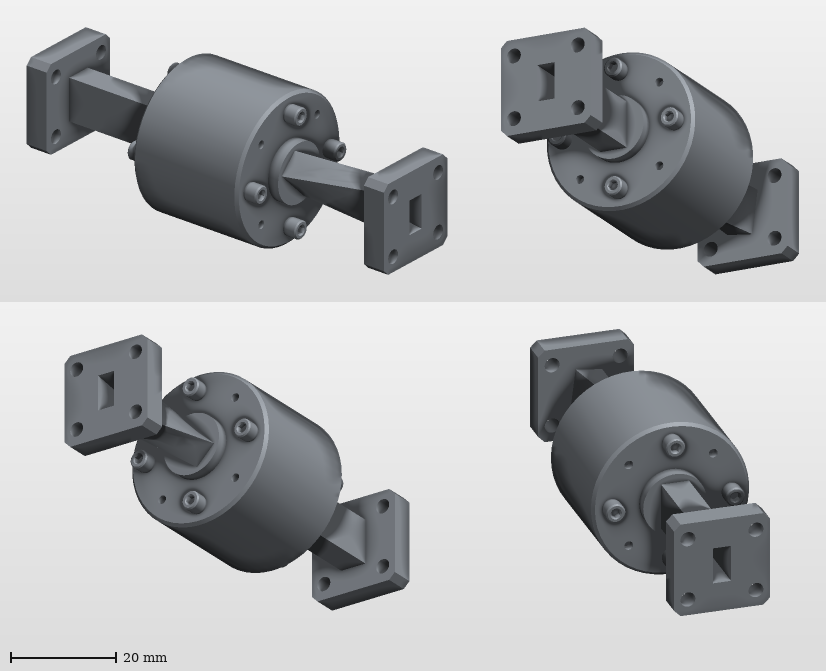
import cadquery as cq

overall_length = 87.1
end_x = overall_length / 2

housing_diameter = 31.6
housing_length = 25.4
housing_end_x = housing_length / 2
housing_chamfer = 0.6

hub_diameter = 12.7
hub_thickness = 2.4
hub_face_x = housing_end_x + hub_thickness

dowel_hole_diameter = 1.7
dowel_hole_depth = 1.7

flange_size = 19.2
flange_thickness = 4.9
flange_corner_chamfer = 1.3
flange_hole_diameter = 3.0
flange_hole_spacing_y = 13.6
flange_hole_spacing_z = 12.6

guide_width = 5.6
guide_height = 9.2
bore_width = 3.7
bore_height = 7.3
guide_length = end_x - hub_face_x
twist_angle = 45.0

screw_circle_radius = 11.9
screw_count = 4
screw_pitch_angle = 360 / screw_count
screw_head_diameter = 3.8
screw_head_height = 3.0
screw_head_chamfer = 0.3
screw_seat_diameter = 3.7
screw_seat_height = 0.4
socket_across_flats = 1.7
socket_mouth_diameter = 2.3
socket_mouth_depth = 0.3
socket_depth = 1.3


def plane_at(x):
    """Plane at position x, with local x along +Y, local y along +Z, normal +X."""
    return cq.Workplane("YZ", origin=(x, 0, 0))


def make_hubbed_cylinder():
    cylinder = plane_at(-housing_end_x).circle(housing_diameter / 2).extrude(housing_length)
    cylinder = cylinder.faces("<X or >X").chamfer(housing_chamfer)
    hubs = plane_at(-hub_face_x).circle(hub_diameter / 2).extrude(2 * hub_face_x)
    return cylinder.union(hubs)


def make_dowel_holes():
    """Cutters for the blind holes, halfway between the screws on both ends."""
    left = (
        plane_at(-housing_end_x)
        .polarArray(screw_circle_radius, screw_pitch_angle / 2, 360, screw_count)
        .circle(dowel_hole_diameter / 2)
        .extrude(dowel_hole_depth)
    )
    return left.union(left.mirror("YZ"))


def make_flange(start_x):
    return (
        plane_at(start_x)
        .rect(flange_size, flange_size)
        .extrude(flange_thickness)
        .edges("|X")
        .chamfer(flange_corner_chamfer)
        .faces(">X")
        .workplane(origin=(start_x + flange_thickness, 0, 0))
        .rect(flange_hole_spacing_y, flange_hole_spacing_z, forConstruction=True)
        .vertices()
        .hole(flange_hole_diameter)
    )


def make_straight_bar(width, height):
    return plane_at(-end_x).rect(width, height).extrude(guide_length)


def make_twisted_bar(width, height):
    """Ruled bar, turned by the twist angle at the hub and upright at the outer face."""
    turned = cq.Sketch().rect(width, height, angle=twist_angle)
    upright = cq.Sketch().rect(width, height)
    return (
        plane_at(hub_face_x)
        .placeSketch(turned, upright.moved(cq.Location(cq.Vector(0, 0, guide_length))))
        .loft(ruled=True)
    )


def make_housing():
    housing = make_hubbed_cylinder().cut(make_dowel_holes())
    for flange_start_x in (-end_x, end_x - flange_thickness):
        housing = housing.union(make_flange(flange_start_x))
    for make_bar in (make_straight_bar, make_twisted_bar):
        housing = housing.union(make_bar(guide_width, guide_height))
        housing = housing.cut(make_bar(bore_width, bore_height))
    return housing


def make_screw():
    """Socket head seated on the right housing end at +Y."""
    seat = plane_at(housing_end_x).circle(screw_seat_diameter / 2).extrude(screw_seat_height)
    head = (
        plane_at(housing_end_x + screw_seat_height)
        .circle(screw_head_diameter / 2)
        .extrude(screw_head_height - screw_seat_height)
        .faces(">X")
        .chamfer(screw_head_chamfer)
    )
    socket = (
        plane_at(housing_end_x + screw_head_height)
        .polygon(6, socket_across_flats, circumscribed=True)
        .extrude(-socket_depth)
    )
    mouth = (
        plane_at(housing_end_x + screw_head_height)
        .circle(socket_mouth_diameter / 2)
        .workplane(offset=-socket_mouth_depth)
        .circle(socket_across_flats / 2)
        .loft()
    )
    return seat.union(head).cut(socket).cut(mouth).translate((0, screw_circle_radius, 0))


def make_screws():
    screws = []
    right_screw = make_screw()
    for screw in (right_screw, right_screw.mirror("YZ")):
        for index in range(screw_count):
            turned = screw.rotate((0, 0, 0), (1, 0, 0), index * screw_pitch_angle)
            screws.append(turned.val())
    return screws


housing = make_housing()
screws = make_screws()
result = cq.Compound.makeCompound([housing.val(), *screws])